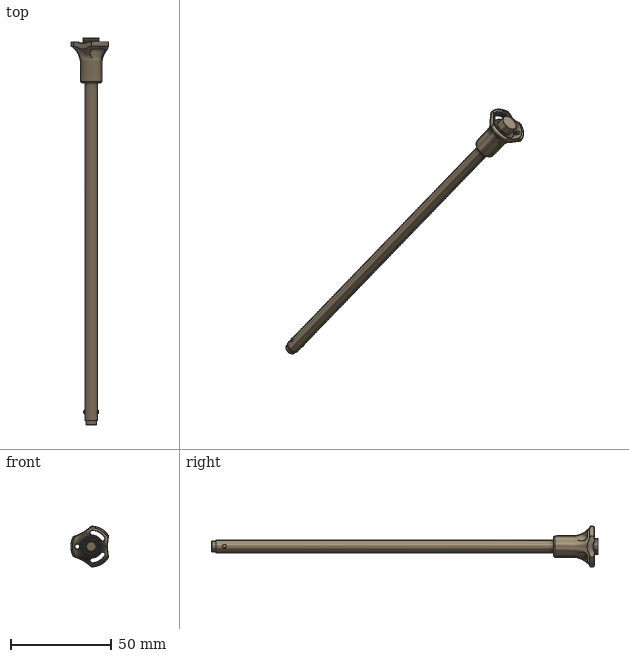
import cadquery as cq
import math

BUTTON_TOP = 22.25
BUTTON_HEIGHT = 1.9
SHANK_LENGTH = 168.05
OVERALL_LENGTH = 192.53
TIP_LENGTH = OVERALL_LENGTH - BUTTON_TOP - SHANK_LENGTH
BALL_SETBACK = 4.2

BUTTON_RADIUS = 4.0
SHANK_RADIUS = 3.175
TIP_RADIUS = 2.7
TIP_CHAMFER = 0.3

GRIP_RADIUS = 5.45
GRIP_LENGTH = 11.1
END_BAND_LENGTH = 2.35
END_BAND_STEP = 0.1
END_CHAMFER = 0.7
RECESS_RADIUS = 4.1
RECESS_DEPTH = 1.5
RIM_RADIUS = 10.16
RIM_FACE = BUTTON_TOP - BUTTON_HEIGHT
RIM_THICKNESS = 2.3
RIM_ROUND = 0.8
FLARE_HOLLOW = 0.75
DISH_RADIUS = 8.7
DISH_FLOOR_RADIUS = 6.0
DISH_DEPTH = 3.0

LOBE_ANGLES = (60, 180, 300)
HOLE_LOBE_ANGLE = 180
LOBE_CORNER_X = 8.71
LOBE_HALF_ANGLE = 180 / len(LOBE_ANGLES) - math.degrees(math.acos(LOBE_CORNER_X / RIM_RADIUS))
WAIST_RADIUS = 8.1
OPENING_RADIUS = 6.95
OPENING_WIDTH = 2.4
SLOT_HALF_ANGLE = 25

BALL_RADIUS = 1.1
BALL_REACH = 3.75


def polar(radius, angle):
    """Point in the XZ plane at an angle from +X towards +Z."""
    return (radius * math.cos(math.radians(angle)), radius * math.sin(math.radians(angle)))


def plane_at(y):
    """XZ workplane at a given Y; extrusions from it run towards -Y."""
    return cq.Workplane("XZ", origin=(0, y, 0))


def cylinder(radius, start, end):
    """Cylinder on the pin axis between two Y positions."""
    return plane_at(end).circle(radius).extrude(end - start)


def handle_profile():
    """Half section of the recessed grip, flare and rounded, dished rim."""
    rim_back = RIM_FACE - RIM_THICKNESS
    dish_floor = RIM_FACE - DISH_DEPTH
    rim_crown = RIM_RADIUS - RIM_ROUND
    diagonal = math.sqrt(0.5)
    corner = RIM_ROUND * (1 - diagonal)
    flare_middle = (
        (GRIP_RADIUS + rim_crown) / 2 - FLARE_HOLLOW * diagonal,
        (GRIP_LENGTH + rim_back) / 2 + FLARE_HOLLOW * diagonal,
    )
    band_radius = GRIP_RADIUS - END_BAND_STEP
    return (
        cq.Workplane("XY")
        .moveTo(0, RECESS_DEPTH)
        .lineTo(RECESS_RADIUS, RECESS_DEPTH)
        .lineTo(RECESS_RADIUS, 0)
        .lineTo(band_radius - END_CHAMFER, 0)
        .lineTo(band_radius, END_CHAMFER)
        .lineTo(GRIP_RADIUS, END_BAND_LENGTH)
        .lineTo(GRIP_RADIUS, GRIP_LENGTH)
        .threePointArc(flare_middle, (rim_crown, rim_back))
        .threePointArc((RIM_RADIUS - corner, rim_back + corner), (RIM_RADIUS, rim_back + RIM_ROUND))
        .lineTo(RIM_RADIUS, RIM_FACE - RIM_ROUND)
        .threePointArc((RIM_RADIUS - corner, RIM_FACE - corner), (rim_crown, RIM_FACE))
        .lineTo(DISH_RADIUS, RIM_FACE)
        .lineTo(DISH_FLOOR_RADIUS, dish_floor)
        .lineTo(0, dish_floor)
        .close()
    )


def lobed_prism():
    """Three lobes on the rim circle joined by shallow hollow waists."""
    half_pitch = 180 / len(LOBE_ANGLES)
    outline = plane_at(RIM_FACE).moveTo(*polar(RIM_RADIUS, LOBE_ANGLES[0] - LOBE_HALF_ANGLE))
    for angle in LOBE_ANGLES:
        outline = outline.threePointArc(
            polar(RIM_RADIUS, angle), polar(RIM_RADIUS, angle + LOBE_HALF_ANGLE)
        ).threePointArc(
            polar(WAIST_RADIUS, angle + half_pitch),
            polar(RIM_RADIUS, angle + 2 * half_pitch - LOBE_HALF_ANGLE),
        )
    return outline.close().extrude(RIM_FACE)


def arc_slot(angle):
    """Curved slot with round ends, centred on one lobe."""
    inner = OPENING_RADIUS - OPENING_WIDTH / 2
    outer = OPENING_RADIUS + OPENING_WIDTH / 2
    end_round = math.degrees(OPENING_WIDTH / 2 / OPENING_RADIUS)
    start, end = angle - SLOT_HALF_ANGLE, angle + SLOT_HALF_ANGLE
    return (
        plane_at(RIM_FACE)
        .moveTo(*polar(inner, start))
        .threePointArc(polar(inner, angle), polar(inner, end))
        .threePointArc(polar(OPENING_RADIUS, end + end_round), polar(outer, end))
        .threePointArc(polar(outer, angle), polar(outer, start))
        .threePointArc(polar(OPENING_RADIUS, start - end_round), polar(inner, start))
        .close()
        .extrude(RIM_FACE)
    )


def round_hole(angle):
    """Round hole centred on one lobe."""
    return (
        plane_at(RIM_FACE)
        .center(*polar(OPENING_RADIUS, angle))
        .circle(OPENING_WIDTH / 2)
        .extrude(RIM_FACE)
    )


def make_handle():
    """Revolved handle trimmed to three lobes, each with its opening."""
    handle = handle_profile().revolve(360, (0, 0, 0), (0, 1, 0)).intersect(lobed_prism())
    for angle in LOBE_ANGLES:
        opening = round_hole(angle) if angle == HOLE_LOBE_ANGLE else arc_slot(angle)
        handle = handle.cut(opening)
    return handle


def make_balls():
    """Locking balls showing on both sides of the shank."""
    ball_y = -SHANK_LENGTH + BALL_SETBACK
    offset = BALL_REACH - BALL_RADIUS
    return cq.Workplane("XY").pushPoints([(-offset, ball_y), (offset, ball_y)]).sphere(BALL_RADIUS)


button = cylinder(BUTTON_RADIUS, RIM_FACE - DISH_DEPTH, BUTTON_TOP)
shank = cylinder(SHANK_RADIUS, -SHANK_LENGTH, RECESS_DEPTH)
tip = cylinder(TIP_RADIUS, -SHANK_LENGTH - TIP_LENGTH, -SHANK_LENGTH).faces("<Y").chamfer(TIP_CHAMFER)

result = make_handle().union(button).union(shank).union(tip).union(make_balls())